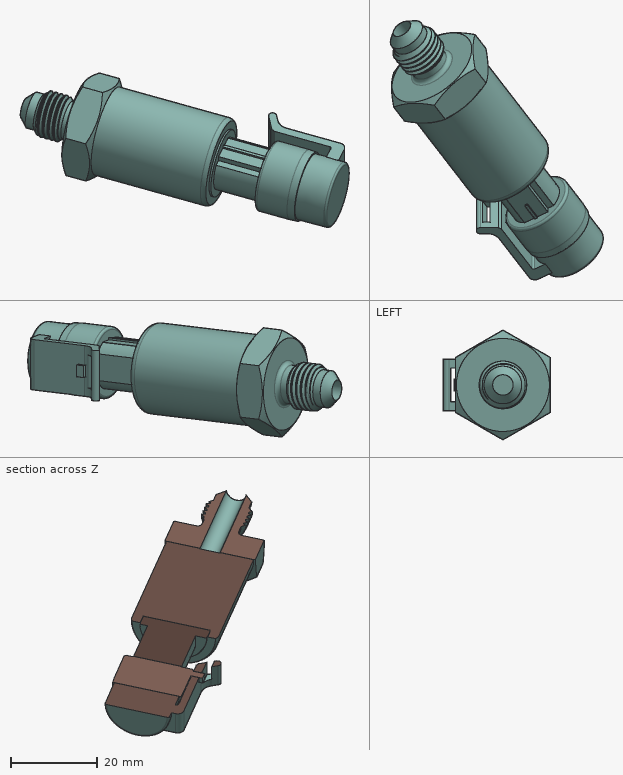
import cadquery as cq
import math

TOTAL_LENGTH = 77.8
THREAD_START = 4.0
THREAD_END = 10.35
HEX_START = 13.45
SLEEVE_START = 20.7
SLEEVE_END = 48.9
DISC_END = 49.4
SHROUD_START = 60.3
SHROUD_TAPER_START = 68.4
PLUG_START = 70.15

TOTAL_WIDTH = 24.9

BORE_DIA = 4.75
FLARE_DIA = 8.7
NECK_DIA = 9.0
NECK_FILLET = 1.0
THREAD_DIA = 11.05
THREAD_ROOT_DIA = 9.6
THREAD_CREST = 0.2
THREAD_FLANK_ANGLE = 30.0
GROOVE_CLEARANCE = 0.15
GROOVE_START = 2.9
GROOVE_LENGTH = 8.9
GROOVE_TURNS = 7
THREAD_PITCH = GROOVE_LENGTH / GROOVE_TURNS
HEX_CORNER_DIA = 25.4
HEX_FLAT_HALF_WIDTH = HEX_CORNER_DIA / 2 * math.cos(math.pi / 6)
HEX_FRONT_RIM_DIA = 21.55
HEX_BACK_RIM_DIA = 21.2
HEX_CHAMFER_ANGLE = 30.0

SLEEVE_DIA = 21.2
SLEEVE_END_DIA = 20.2
SLEEVE_ROUNDING_LENGTH = 1.2
DISC_DIA = 16.2
DISC_DEPTH = 2.3
TONGUE_DIA = 12.6
TONGUE_CORE_HEIGHT = 8.3
TONGUE_BACK_Y = 5.45
KEY_WIDTH = 6.3
KEY_HEIGHT = 11.05
RIB_WIDTH = 0.7
RIB_REACH = 6.0
TAB_START = 55.8

SHROUD_DIA = 16.9
SHROUD_END_DIA = 16.65
SHROUD_FILLET = 0.6
PLUG_DIA = 15.9
PLUG_END_DIA = 15.7
PLUG_FILLET = 0.55
POST_START = 60.8
POST_LENGTH = 1.9
POST_WIDTH = 2.8
POST_TOP = 11.3

LEVER_WIDTH = 12.0
LEVER_UNDERSIDE = 8.5
LEVER_THICKNESS = 1.95
LEG_START = 72.95
LEG_END = 76.0
LEG_BOTTOM = 4.6
LEG_FILLET = 1.55
FINGER_TIP_X = 56.7
FINGER_TIP_TOP = TOTAL_WIDTH - HEX_FLAT_HALF_WIDTH
FINGER_TIP_RADIUS = 0.9
FINGER_ANGLE = 59.0
FINGER_FILLET = 3.1
KNEE_CHAMFER = 0.5
LEG_INNER_FILLET = 0.5
WINDOW_WIDTH = 7.8
WINDOW_BOTTOM = 10.6
WINDOW_TOP = 12.05
WINDOW_END = 61.8


def turned(profile):
    """Revolve a closed list of (x, radius) points about the X axis."""
    return cq.Workplane("XY").polyline(profile).close().revolve(360, (0, 0, 0), (1, 0, 0))


def rod(x_start, x_end, diameter):
    """Cylinder on the X axis."""
    return cq.Workplane("YZ", origin=(x_start, 0, 0)).circle(diameter / 2).extrude(x_end - x_start)


def block(x_range, y_range, z_range):
    """Box between the given limits."""
    (x0, x1), (y0, y1), (z0, z1) = x_range, y_range, z_range
    return cq.Workplane("XY").box(x1 - x0, y1 - y0, z1 - z0, centered=False).translate((x0, y0, z0))


def edge_along_z(body, x, y):
    """Select the edge parallel to Z that crosses the XY plane at (x, y)."""
    return body.edges(cq.selectors.NearestToPointSelector((x, y, 0)))


def make_thread_groove():
    """Helical V groove, running out of the blank at both ends of the thread."""
    root_radius = THREAD_ROOT_DIA / 2
    outer_radius = THREAD_DIA / 2 + GROOVE_CLEARANCE
    slope = math.tan(math.radians(THREAD_FLANK_ANGLE))
    crest_half_gap = (THREAD_PITCH - THREAD_CREST) / 2
    root_half_gap = crest_half_gap - (THREAD_DIA / 2 - root_radius) * slope
    outer_half_gap = root_half_gap + (outer_radius - root_radius) * slope
    helix = cq.Wire.makeHelix(THREAD_PITCH, GROOVE_LENGTH, root_radius)
    groove = (
        cq.Workplane("XZ")
        .polyline([
            (root_radius, root_half_gap),
            (outer_radius, outer_half_gap),
            (outer_radius, -outer_half_gap),
            (root_radius, -root_half_gap),
        ])
        .close()
        .sweep(cq.Workplane(helix), isFrenet=True)
    )
    return groove.rotate((0, 0, 0), (0, 1, 0), 90).translate((GROOVE_START, 0, 0))


def make_threaded_spigot():
    """Flared tip, threaded length and relief neck, joined to the hexagon by a fillet."""
    flare, neck, thread = FLARE_DIA / 2, NECK_DIA / 2, THREAD_DIA / 2
    threaded_rod = rod(0, HEX_START, THREAD_DIA).cut(make_thread_groove())
    envelope = turned([
        (0, 0),
        (0, BORE_DIA / 2),
        (flare - BORE_DIA / 2, flare),
        (THREAD_START, flare),
        (THREAD_START + thread - flare, thread),
        (THREAD_END - (thread - neck) / 2, thread),
        (THREAD_END + (thread - neck) / 2, neck),
        (HEX_START, neck),
        (HEX_START, 0),
    ])
    root_fillet = (
        cq.Workplane("XY")
        .moveTo(HEX_START - NECK_FILLET, neck)
        .radiusArc((HEX_START, neck + NECK_FILLET), -NECK_FILLET)
        .lineTo(HEX_START, 0)
        .lineTo(HEX_START - NECK_FILLET, 0)
        .close()
        .revolve(360, (0, 0, 0), (1, 0, 0))
    )
    return threaded_rod.intersect(envelope).union(root_fillet)


def make_hexagon():
    """Hexagon with corners at the top and bottom, chamfered at both ends."""
    corner = HEX_CORNER_DIA / 2
    front_rim = HEX_FRONT_RIM_DIA / 2
    back_rim = HEX_BACK_RIM_DIA / 2
    slope = math.tan(math.radians(HEX_CHAMFER_ANGLE))
    hexagon = (
        cq.Workplane("YZ", origin=(HEX_START, 0, 0))
        .transformed(rotate=(0, 0, 90))
        .polygon(6, HEX_CORNER_DIA)
        .extrude(SLEEVE_START - HEX_START)
    )
    envelope = turned([
        (HEX_START, 0),
        (HEX_START, front_rim),
        (HEX_START + (corner - front_rim) * slope, corner),
        (SLEEVE_START - (corner - back_rim) * slope, corner),
        (SLEEVE_START, back_rim),
        (SLEEVE_START, 0),
    ])
    return hexagon.intersect(envelope)


def make_fitting():
    bore = rod(0, SLEEVE_START, BORE_DIA)
    return make_hexagon().union(make_threaded_spigot()).cut(bore)


def make_sleeve():
    """Round body with a rounded end and a recess for the insert's disc."""
    radius, end_radius = SLEEVE_DIA / 2, SLEEVE_END_DIA / 2
    rounding_start = SLEEVE_END - SLEEVE_ROUNDING_LENGTH
    sleeve = (
        cq.Workplane("XY")
        .moveTo(SLEEVE_START, 0)
        .lineTo(SLEEVE_START, radius)
        .lineTo(rounding_start, radius)
        .tangentArcPoint((SLEEVE_END, end_radius), relative=False)
        .lineTo(SLEEVE_END, 0)
        .close()
        .revolve(360, (0, 0, 0), (1, 0, 0))
    )
    return sleeve.cut(rod(SLEEVE_END - DISC_DEPTH, SLEEVE_END, DISC_DIA))


def make_insert():
    """Disc seated in the sleeve with a keyed tongue reaching to the shroud."""
    length = (DISC_END, SHROUD_START)
    radius = TONGUE_DIA / 2
    core_limits = block(
        length,
        (-radius, KEY_WIDTH / 2),
        (-TONGUE_CORE_HEIGHT / 2, TONGUE_CORE_HEIGHT / 2),
    )
    back_limits = block(length, (KEY_WIDTH / 2, TONGUE_BACK_Y), (-radius, radius))
    core = rod(*length, TONGUE_DIA).intersect(core_limits.union(back_limits))
    key = block(length, (-KEY_WIDTH / 2, KEY_WIDTH / 2), (-KEY_HEIGHT / 2, KEY_HEIGHT / 2))
    rib = block(length, (-RIB_WIDTH / 2, RIB_WIDTH / 2), (0, RIB_REACH))
    tab = block((TAB_START, SHROUD_START), (-RIB_WIDTH / 2, RIB_WIDTH / 2), (-RIB_REACH, 0))
    disc = rod(SLEEVE_END - DISC_DEPTH, DISC_END, DISC_DIA)
    return disc.union(core).union(key).union(rib).union(tab)


def make_post():
    """Catch on the shroud that stands through the latch lever."""
    return block(
        (POST_START, POST_START + POST_LENGTH),
        (0, POST_TOP),
        (-POST_WIDTH / 2, POST_WIDTH / 2),
    )


def make_shroud():
    shroud = turned([
        (SHROUD_START, 0),
        (SHROUD_START, SHROUD_DIA / 2),
        (SHROUD_TAPER_START, SHROUD_DIA / 2),
        (PLUG_START, SHROUD_END_DIA / 2),
        (PLUG_START, 0),
    ])
    return shroud.faces("<X").edges().fillet(SHROUD_FILLET).union(make_post())


def make_lever():
    """Latch lever: a leg on the plug, a flat plate and a raised finger with a window."""
    plate_top = LEVER_UNDERSIDE + LEVER_THICKNESS
    tip_centre_y = FINGER_TIP_TOP - FINGER_TIP_RADIUS
    angle = math.radians(FINGER_ANGLE)
    side_x = FINGER_TIP_RADIUS * math.sin(angle)
    side_y = FINGER_TIP_RADIUS * math.cos(angle)
    inner_end = (FINGER_TIP_X - side_x, tip_centre_y - side_y)
    outer_end = (FINGER_TIP_X + side_x, tip_centre_y + side_y)
    bend_x = outer_end[0] + (outer_end[1] - plate_top) / math.tan(angle)
    knee_x = inner_end[0] + (inner_end[1] - LEVER_UNDERSIDE) / math.tan(angle)
    lever = (
        cq.Workplane("XY", origin=(0, 0, -LEVER_WIDTH / 2))
        .moveTo(LEG_START, LEG_BOTTOM)
        .lineTo(LEG_START, LEVER_UNDERSIDE)
        .lineTo(knee_x, LEVER_UNDERSIDE)
        .lineTo(*inner_end)
        .threePointArc((FINGER_TIP_X - side_y, tip_centre_y + side_x), outer_end)
        .lineTo(bend_x, plate_top)
        .lineTo(LEG_END, plate_top)
        .lineTo(LEG_END, LEG_BOTTOM)
        .close()
        .extrude(LEVER_WIDTH)
    )
    lever = edge_along_z(lever, LEG_END, plate_top).fillet(LEG_FILLET)
    lever = edge_along_z(lever, LEG_START, LEVER_UNDERSIDE).fillet(LEG_INNER_FILLET)
    lever = edge_along_z(lever, bend_x, plate_top).fillet(FINGER_FILLET)
    lever = edge_along_z(lever, knee_x, LEVER_UNDERSIDE).chamfer(KNEE_CHAMFER)
    window = block(
        (inner_end[0], WINDOW_END),
        (WINDOW_BOTTOM, WINDOW_TOP),
        (-WINDOW_WIDTH / 2, WINDOW_WIDTH / 2),
    )
    return lever.cut(window).cut(make_post())


def make_plug():
    plug = turned([
        (PLUG_START, 0),
        (PLUG_START, PLUG_DIA / 2),
        (TOTAL_LENGTH, PLUG_END_DIA / 2),
        (TOTAL_LENGTH, 0),
    ])
    return plug.faces(">X").edges().fillet(PLUG_FILLET).union(make_lever())


fitting = make_fitting()
sleeve = make_sleeve()
insert = make_insert()
shroud = make_shroud()
plug = make_plug()

result = cq.Compound.makeCompound([
    fitting.val(),
    sleeve.val(),
    insert.val(),
    shroud.val(),
    plug.val(),
])